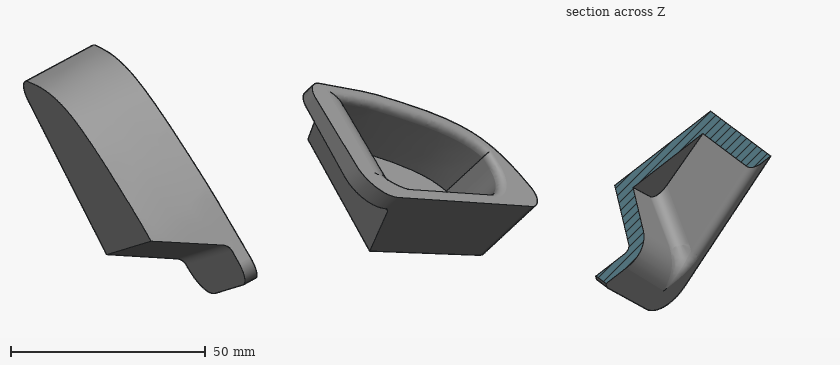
import cadquery as cq
import math


edge_slope = math.radians(35.3)
depth = 23.0
height = 49.91
back_rise = 2.5
beyond = 150.0

tip_radius = 5.0
end_radius = 5.0
heel_radius = 10.0
end_u = 65.85
end_center_v = 27.25
crown_start_angle = 162.0
crown_end_angle = 96.0
crown_marks = [(1.15, 14.1), (13.4, 22.65), (37.0, 29.35)]
crown_steps = 8

ramp_start_u = 44.5
ramp_angle = math.radians(30)
flange_front = 18.0
ramp_fillet = 3.0

wall = 4.0
pocket_start_u = 5.0
pocket_corner_radius = 9.5
ramp_corner_radius = 4.0
rim_radius = 2.0
ramp_rim_radius = 12.0

lower_v = -tip_radius
end_center_u = end_u - end_radius
heel_u = end_u - heel_radius
heel_v = lower_v + heel_radius
heel_center_z = heel_v * math.cos(edge_slope) - heel_u * math.sin(edge_slope)
lowest_z = heel_center_z - heel_radius
back_lean = math.atan2(back_rise, height)
inner_ramp_start_u = ramp_start_u - wall / math.cos(ramp_angle)

nearly_parallel = 0.9
u_axis = cq.Vector(math.cos(edge_slope), 0, -math.sin(edge_slope))
v_axis = cq.Vector(math.sin(edge_slope), 0, math.cos(edge_slope))
back_normal = cq.Vector(0, math.cos(back_lean), math.sin(back_lean))
front_plane = cq.Plane(origin=(0, 0, 0), xDir=u_axis, normal=(0, -1, 0))
side_plane = cq.Plane(origin=(0, 0, 0), xDir=u_axis, normal=v_axis)


def on_circle(u, v, radius, degrees):
    """Point of a circle around (u, v) in the given direction."""
    angle = math.radians(degrees)
    return u + radius * math.cos(angle), v + radius * math.sin(angle)


def travel(normal_degrees):
    """Direction of clockwise travel where the outward normal has this direction."""
    angle = math.radians(normal_degrees)
    return math.sin(angle), -math.cos(angle)


def crown_points_inside(inset):
    """Points along the crown curve, from tip round to end round, moved inwards."""
    start = on_circle(0, 0, tip_radius, crown_start_angle)
    end = on_circle(end_center_u, end_center_v, end_radius, crown_end_angle)
    points = [cq.Vector(*point) for point in [start] + crown_marks + [end]]
    directions = [cq.Vector(*travel(angle)) for angle in (crown_start_angle, crown_end_angle)]
    crown = cq.Edge.makeSpline(points, tangents=directions)
    moved = []
    for step in range(crown_steps + 1):
        place = crown.positionAt(step / crown_steps)
        direction = crown.tangentAt(step / crown_steps)
        moved.append((place.x + inset * direction.y, place.y - inset * direction.x))
    return moved


def outline(inset=0.0):
    """Closed profile: lower edge, tip, crown, end edge and heel, moved inwards by inset."""
    crown = crown_points_inside(inset)
    crown_directions = [travel(crown_start_angle), travel(crown_end_angle)]
    end_middle = on_circle(end_center_u, end_center_v, end_radius - inset, crown_end_angle / 2)
    heel_middle = on_circle(heel_u, heel_v, heel_radius - inset, -45)
    return (
        cq.Workplane(front_plane)
        .moveTo(0, lower_v + inset)
        .threePointArc((inset - tip_radius, 0), crown[0])
        .spline(crown[1:], tangents=crown_directions, includeCurrent=True)
        .threePointArc(end_middle, (end_u - inset, end_center_v))
        .lineTo(end_u - inset, heel_v)
        .threePointArc(heel_middle, (heel_u, lower_v + inset))
        .close()
    )


def ramp_u(start_u, y):
    """Place along u of a ramp that leaves the front face at start_u."""
    return start_u + y * math.tan(ramp_angle)


def beyond_ramp(start_u, y_end):
    """Everything past a ramp, from the front face to y_end."""
    corners = [(start_u, 0), (ramp_u(start_u, y_end), y_end), (beyond, y_end), (beyond, 0)]
    return cq.Workplane(side_plane).polyline(corners).close().extrude(beyond, both=True)


def flange_cutter():
    """Material in front of the flange, with a round where ramp and flange meet."""
    corner = side_plane.toWorldCoords((ramp_u(ramp_start_u, flange_front), flange_front))
    cutter = beyond_ramp(ramp_start_u, flange_front)
    return cutter.edges(cq.NearestToPointSelector(corner.toTuple())).fillet(ramp_fillet)


def behind_back():
    """Everything behind the leaning back face."""
    back_plane = cq.Plane(origin=(0, depth, lowest_z), xDir=(1, 0, 0), normal=back_normal)
    return cq.Workplane(back_plane).rect(2 * beyond, 2 * beyond).extrude(beyond)


def pocket():
    """Hollow a wall thickness inside the outline, the front face and the ramp."""
    inner = outline(wall).extrude(-2 * depth)
    reach = (
        cq.Workplane(front_plane)
        .moveTo(pocket_start_u, lower_v + wall)
        .rect(beyond, beyond, centered=False)
        .extrude(-2 * depth)
        .edges("|Y and (<X)")
        .fillet(pocket_corner_radius)
    )
    front_wall = cq.Workplane(front_plane).rect(2 * beyond, 2 * beyond).extrude(-wall)
    past_inner_ramp = beyond_ramp(inner_ramp_start_u, 2 * depth)
    return inner.intersect(reach).cut(front_wall).cut(past_inner_ramp)


def rim_edges(shape):
    """Edges around the mouth of the hollow in the back face."""
    back_face = shape.faces(cq.selectors.ParallelDirSelector(back_normal)).val()
    return back_face.innerWires()[0].Edges()


def along_u(edge):
    """How far along u the middle of an edge lies."""
    return edge.Center().dot(u_axis)


def runs_across(edge):
    """True for a straight edge running along v."""
    return edge.geomType() == "LINE" and abs(edge.tangentAt(0).dot(v_axis)) > nearly_parallel


def fillet_ramp_rim(shape):
    """Large round where the hollow runs out over the ramp."""
    ramp_edge = max(filter(runs_across, rim_edges(shape)), key=along_u)
    return shape.newObject([shape.val().fillet(ramp_rim_radius, [ramp_edge])])


def fillet_ramp_corner(shape):
    """Inside round between the lower wall of the hollow and its ramp."""
    corner_y = depth / 2
    corner = u_axis * ramp_u(inner_ramp_start_u, corner_y) + v_axis * (lower_v + wall)
    corner = corner + cq.Vector(0, corner_y, 0)
    return shape.edges(cq.NearestToPointSelector(corner.toTuple())).fillet(ramp_corner_radius)


def fillet_rim(shape):
    """Small round along the rest of the mouth."""
    edges = rim_edges(shape)
    ramp_edge = max(edges, key=along_u)
    rest = [edge for edge in edges if not edge.isSame(ramp_edge)]
    return shape.newObject([shape.val().fillet(rim_radius, rest)])


body = outline().extrude(-depth)
body = body.cut(behind_back())
body = body.cut(flange_cutter())
body = body.cut(pocket())
body = fillet_ramp_rim(body)
body = fillet_ramp_corner(body)
result = fillet_rim(body)